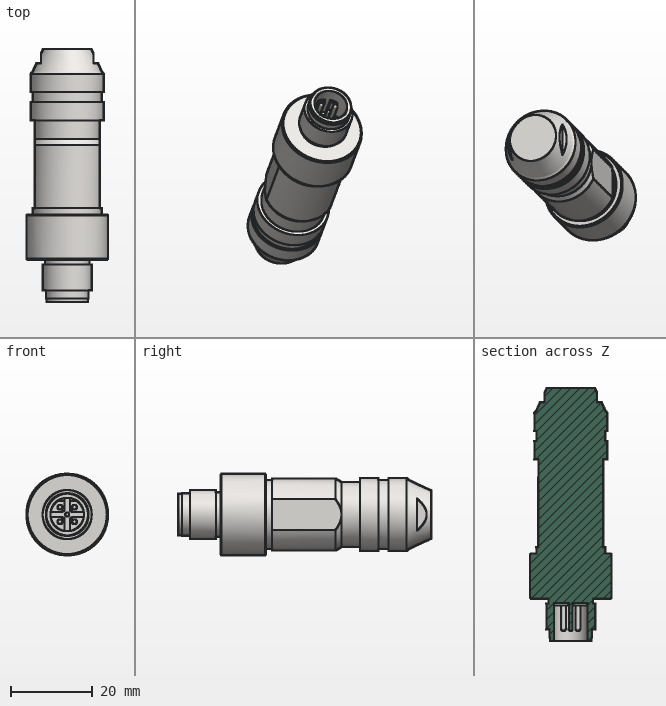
import cadquery as cq
import math

length = 62.0
plug_tip_end = 0.9
plug_end = 2.85
thread_end = 9.25
nut_start = 10.35
nut_end = 21.5
collar_end = 23.0
body_end = 38.5
body_taper_end = 40.0
front_grip_start = 44.5
front_grip_end = 49.05
rear_grip_start = 51.45
rear_grip_end = 55.9
cone_start = 56.5

plug_tip_dia = 10.2
plug_dia = 10.5
thread_dia = 12.0
plug_neck_dia = 11.0
nut_dia = 20.0
nut_chamfer = 0.3
collar_dia = 17.0
body_dia = 17.75
neck_dia = 16.0
grip_dia = 18.0
groove_dia = 17.0
cone_large_dia = 17.0
cone_small_dia = 11.85

body_flat_width = 16.0
cone_flat_width = 12.9
cone_flat_start = 58.5
bore_dia = 8.2
bore_depth = 8.7
slot_width = 1.3
slot_depth = 0.6
slot_corner_radius = 0.75
key_flat_height = 3.3
key_start = 3.7

pin_tip = 2.5
pin_offset = 1.77
center_pin_dia = 1.0
outer_pin_dia = 1.2


def turned(stations):
    """Solid of revolution about Y from (diameter, y) pairs."""
    points = [(diameter / 2, y) for diameter, y in stations]
    outline = cq.Workplane("XY").moveTo(0, points[0][1])
    for point in points:
        outline = outline.lineTo(*point)
    outline = outline.lineTo(0, points[-1][1]).close()
    return outline.revolve(360, (0, 0, 0), (0, 1, 0))


def cylinder(diameter, start, end):
    return turned([(diameter, start), (diameter, end)])


def block(width, start, end, height):
    return cq.Workplane("XY").box(width, end - start, height).translate((0, (start + end) / 2, 0))


def side_flats(shape, width, start, end):
    """Cut two flats facing +X and -X over a stretch of Y."""
    sides = block(2 * nut_dia, start, end, 2 * nut_dia)
    return shape.cut(sides.cut(block(width, start, end, 2 * nut_dia)))


def front_half():
    """Plug, threaded sleeve, coupling nut and collar."""
    nut_face_dia = nut_dia - 2 * nut_chamfer
    return turned([
        (plug_tip_dia, 0), (plug_tip_dia, plug_tip_end),
        (plug_dia, plug_tip_end), (plug_dia, plug_end),
        (thread_dia, plug_end), (thread_dia, thread_end),
        (plug_neck_dia, thread_end), (plug_neck_dia, nut_start),
        (nut_face_dia, nut_start), (nut_dia, nut_start + nut_chamfer),
        (nut_dia, nut_end - nut_chamfer), (nut_face_dia, nut_end),
        (collar_dia, nut_end), (collar_dia, collar_end),
    ])


def body():
    shape = turned([(body_dia, collar_end), (body_dia, body_end), (neck_dia, body_taper_end)])
    return side_flats(shape, body_flat_width, collar_end, body_taper_end)


def rear_half():
    """Plain neck, grooved grip and the conical cable end with its flats."""
    shape = turned([
        (neck_dia, body_taper_end), (neck_dia, front_grip_start),
        (grip_dia, front_grip_start), (grip_dia, front_grip_end),
        (groove_dia, front_grip_end), (groove_dia, rear_grip_start),
        (grip_dia, rear_grip_start), (grip_dia, rear_grip_end),
        (cone_large_dia, cone_start), (cone_small_dia, length),
    ])
    return side_flats(shape, cone_flat_width, cone_flat_start, length)


def key():
    """Polarizing rib along the top of the bore wall, flat underneath."""
    below_key = block(bore_dia, key_start, bore_depth, 2 * key_flat_height)
    top_half = block(bore_dia, key_start, bore_depth, bore_dia).translate((0, 0, bore_dia / 2))
    return cylinder(bore_dia, key_start, bore_depth).cut(below_key).intersect(top_half)


def cross_slots():
    """Cross-shaped recess with rounded inner corners, passing through the key."""
    floor = bore_depth + slot_depth
    bar = block(bore_dia, bore_depth, floor, slot_width)
    upright = block(slot_width, bore_depth, floor, bore_dia)
    cross = bar.union(upright)
    inner_corners = cq.selectors.BoxSelector(
        (-slot_width, bore_depth, -slot_width), (slot_width, floor, slot_width))
    cross = cross.edges("|Y").edges(inner_corners).fillet(slot_corner_radius)
    key_gap = block(slot_width, key_start, bore_depth, bore_dia)
    return cross.union(key_gap).intersect(cylinder(bore_dia, 0, floor))


def pin(diameter, x, z):
    """Round-nosed contact pin rooted below the slot floor."""
    radius = diameter / 2
    root = bore_depth + 2 * slot_depth
    diagonal = radius * math.sqrt(0.5)
    nose_center = pin_tip + radius
    outline = (
        cq.Workplane("XY").moveTo(0, pin_tip)
        .threePointArc((diagonal, nose_center - diagonal), (radius, nose_center))
        .lineTo(radius, root).lineTo(0, root).close()
    )
    return outline.revolve(360, (0, 0, 0), (0, 1, 0)).translate((x, 0, z))


result = front_half().union(body()).union(rear_half())
result = result.cut(cylinder(bore_dia, 0, bore_depth))
result = result.union(key()).cut(cross_slots())
result = result.union(pin(center_pin_dia, 0, 0))
for x in (-pin_offset, pin_offset):
    for z in (-pin_offset, pin_offset):
        result = result.union(pin(outer_pin_dia, x, z))